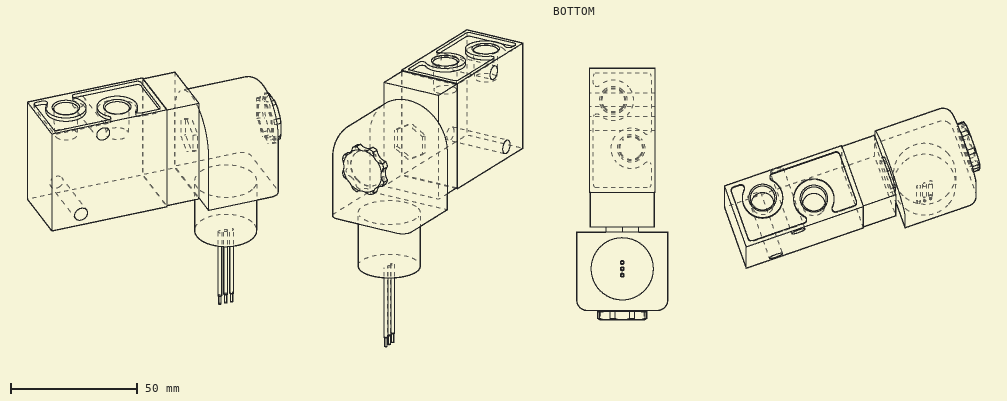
import cadquery as cq
import math


block_width = 26.0
block_length = 49.0
block_height = 45.0
block_top = block_height / 2

flange_step = 0.3
flange_length = 13.7
hex_across_flats = 13.0
hex_length = 2.0

port_offset = 3.5
port_end_distance = 12.7
port_pitch = 19.0
port_mouth_diameter = 10.9
port_throat_diameter = 9.6
port_floor_diameter = 8.9
port_depth = 12.4
boss_diameter = 16.0
pocket_depth = 1.6
pocket_side_wall = 1.6
pocket_end_wall = 1.9
pocket_fillet = 1.5

mount_hole_diameter = 5.5
mount_hole_inset = 5.0
upper_hole_y = 21.9
lower_hole_y = 12.4

coil_width = 36.0
coil_radius = coil_width / 2
coil_length = 31.0
coil_drop = 24.9
coil_rim_radius = 4.1
gland_diameter = 24.6
gland_length = 22.9
gland_setback = 14.5
lead_count = 3
lead_pitch = 2.5
lead_diameter = 1.6
lead_length = 29.4
strand_diameter = 1.0
strand_length = 3.9

nut_diameter = 20.2
nut_length = 3.2
nut_collar_diameter = 15.0
nut_collar_length = 0.4
flute_count = 8
flute_diameter = 8.9
tooth_width = 2.1
nut_chamfer_radial = 1.2
nut_chamfer_axial = 0.5

flange_end = block_length + flange_length
coil_start = flange_end + hex_length
coil_end = coil_start + coil_length
ports = [
    (-port_offset, port_end_distance),
    (port_offset, port_end_distance + port_pitch),
]
mount_holes = [
    (upper_hole_y, block_top - mount_hole_inset),
    (lower_hole_y, mount_hole_inset - block_top),
]


def cylinder_along_y(diameter, start, length):
    return cq.Workplane("XZ", origin=(0, start, 0)).circle(diameter / 2).extrude(-length)


def cylinder_down(diameter, x, y, top, length):
    return cq.Workplane("XY", origin=(x, y, top)).circle(diameter / 2).extrude(-length)


def make_port_island(x, y):
    """Boss around a port, joined to the nearest pocket wall by a filleted web."""
    side = math.copysign(1, x)
    wall_x = block_width / 2 - pocket_side_wall
    fillet_x = wall_x - pocket_fillet
    fillet_dy = math.sqrt((boss_diameter / 2 + pocket_fillet) ** 2 - (fillet_x - abs(x)) ** 2)
    island = (
        cq.Workplane("XY", origin=(0, 0, block_top))
        .polyline([
            (x, y),
            (side * fillet_x, y + fillet_dy),
            (side * wall_x, y + fillet_dy),
            (side * wall_x, y - fillet_dy),
            (side * fillet_x, y - fillet_dy),
        ])
        .close()
        .extrude(-pocket_depth)
    )
    for fillet_y in (y - fillet_dy, y + fillet_dy):
        island = island.cut(cylinder_down(2 * pocket_fillet, side * fillet_x, fillet_y, block_top, pocket_depth))
    return island.union(cylinder_down(boss_diameter, x, y, block_top, pocket_depth))


def make_pocket():
    """Shallow rounded pocket in the top of the block, less the port islands."""
    pocket = (
        cq.Workplane("XY", origin=(0, block_length / 2, block_top))
        .rect(block_width - 2 * pocket_side_wall, block_length - 2 * pocket_end_wall)
        .extrude(-pocket_depth)
        .edges("|Z")
        .fillet(pocket_fillet)
    )
    for x, y in ports:
        pocket = pocket.cut(make_port_island(x, y))
    return pocket


def make_port_hole(x, y):
    """Blind tapered port with a 45 degree lead-in at its mouth."""
    mouth_depth = (port_mouth_diameter - port_throat_diameter) / 2
    profile = [
        (0, block_top),
        (port_mouth_diameter / 2, block_top),
        (port_throat_diameter / 2, block_top - mouth_depth),
        (port_floor_diameter / 2, block_top - port_depth),
        (0, block_top - port_depth),
    ]
    hole = cq.Workplane("XZ").polyline(profile).close().revolve(360, (0, 0), (0, 1))
    return hole.translate((x, y, 0))


def make_valve_body():
    """Ported block with its flange and the hexagon that meets the coil."""
    block = cq.Workplane("XY").box(block_width, block_length, block_height)
    block = block.translate((0, block_length / 2, 0))
    flange = (
        cq.Workplane("XZ", origin=(0, block_length, 0))
        .rect(block_width - 2 * flange_step, block_height - 2 * flange_step)
        .extrude(-flange_length)
    )
    hexagon = (
        cq.Workplane("XZ", origin=(0, flange_end, 0))
        .polygon(6, hex_across_flats, circumscribed=True)
        .extrude(-hex_length)
    )
    body = block.union(flange).union(hexagon).cut(make_pocket())
    for x, y in ports:
        body = body.cut(make_port_hole(x, y))
    for y, z in mount_holes:
        hole = (
            cq.Workplane("YZ", origin=(0, y, z))
            .circle(mount_hole_diameter / 2)
            .extrude(block_width / 2, both=True)
        )
        body = body.cut(hole)
    return body


def make_coil():
    """Arched coil housing with the cable gland and three stripped leads below."""
    housing = (
        cq.Workplane("XZ", origin=(0, coil_start, 0))
        .moveTo(-coil_radius, -coil_drop)
        .lineTo(-coil_radius, 0)
        .threePointArc((0, coil_radius), (coil_radius, 0))
        .lineTo(coil_radius, -coil_drop)
        .close()
        .extrude(-coil_length)
    )
    housing = housing.faces(">Y").edges("not <Z").fillet(coil_rim_radius)

    gland_y = coil_start + gland_setback
    gland_bottom = -coil_drop - gland_length
    coil = housing.union(cylinder_down(gland_diameter, 0, gland_y, -coil_drop, gland_length))
    for i in range(lead_count):
        lead_y = gland_y + (i - (lead_count - 1) / 2) * lead_pitch
        coil = coil.union(cylinder_down(lead_diameter, 0, lead_y, gland_bottom, lead_length))
        coil = coil.union(cylinder_down(strand_diameter, 0, lead_y, gland_bottom - lead_length, strand_length))
    return coil


def make_nut():
    """Nut with concave flutes between narrow teeth, seated on the coil by a collar."""
    nut_radius = nut_diameter / 2
    nut_start = coil_end + nut_collar_length
    nut = cylinder_along_y(nut_diameter, nut_start, nut_length)
    nut = nut.faces(">Y").chamfer(nut_chamfer_axial, nut_chamfer_radial)
    half_angle = math.pi / flute_count - math.asin(tooth_width / nut_diameter)
    half_chord = nut_radius * math.sin(half_angle)
    flute_distance = nut_radius * math.cos(half_angle) + math.sqrt((flute_diameter / 2) ** 2 - half_chord ** 2)
    flutes = (
        cq.Workplane("XZ", origin=(0, nut_start, 0))
        .polarArray(flute_distance, 0, 360, flute_count)
        .circle(flute_diameter / 2)
        .extrude(-nut_length)
    )
    collar = cylinder_along_y(nut_collar_diameter, coil_end, nut_collar_length)
    return nut.cut(flutes).union(collar)


valve_body = make_valve_body()
coil = make_coil()
nut = make_nut()

result = cq.Compound.makeCompound([valve_body.val(), coil.val(), nut.val()])